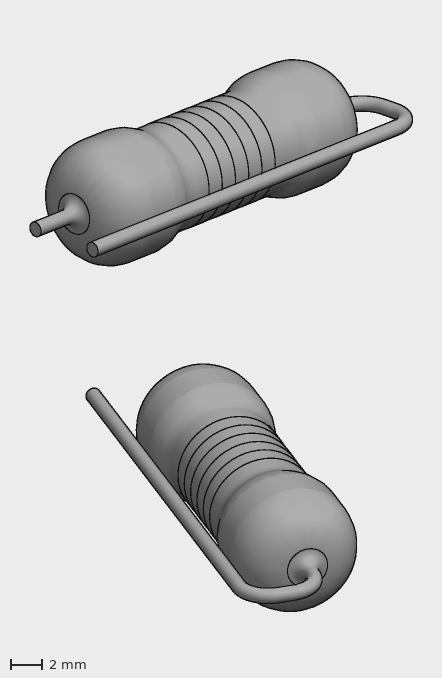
import cadquery as cq
import math

total_length = 30.9
lead_diameter = 1.0
lead_pitch = 5.0
bend_radius = 1.98

body_center = 15.5
body_length = 23.8
cap_diameter = 8.4
cap_rounding = 2.97
shoulder_length = 2.45
waist_diameter = 7.15
band_diameter = 7.17
band_count = 7
band_width = 1.25
flare_radius = 0.85

lead_radius = lead_diameter / 2
cap_radius = cap_diameter / 2
waist_radius = waist_diameter / 2
body_half = body_length / 2
waist_half = band_count * band_width / 2
bend_start = total_length - lead_radius - bend_radius


def make_half_body():
    """Revolve one half of the body, from its middle to its end and lead flare."""
    arc_length = shoulder_length / 2
    arc_drop = (cap_radius - waist_radius) / 2
    arc_radius = (arc_length**2 + arc_drop**2) / (2 * arc_drop)
    half_angle = math.atan2(arc_length, arc_radius - arc_drop) / 2
    mid_rise = arc_radius * (1 - math.cos(half_angle))
    mid_run = arc_radius * math.sin(half_angle)
    shoulder_end = waist_half + shoulder_length

    cos_45 = math.sqrt(0.5)
    cap_start = body_half - cap_rounding
    face_radius = cap_radius - cap_rounding
    flare_base = lead_radius + flare_radius
    flare_end = body_half + flare_radius

    body = (
        cq.Workplane("XY")
        .lineTo(waist_radius, 0)
        .lineTo(waist_radius, waist_half)
        .threePointArc(
            (waist_radius + mid_rise, waist_half + mid_run),
            (waist_radius + arc_drop, waist_half + arc_length),
        )
        .threePointArc(
            (cap_radius - mid_rise, shoulder_end - mid_run),
            (cap_radius, shoulder_end),
        )
        .lineTo(cap_radius, cap_start)
        .threePointArc(
            (face_radius + cap_rounding * cos_45, cap_start + cap_rounding * cos_45),
            (face_radius, body_half),
        )
        .lineTo(0, body_half)
        .close()
        .revolve(360, (0, 0), (0, 1))
    )
    flare = (
        cq.Workplane("XY")
        .moveTo(0, cap_start)
        .lineTo(face_radius, cap_start)
        .lineTo(flare_base, body_half)
        .threePointArc(
            (flare_base - flare_radius * cos_45, flare_end - flare_radius * cos_45),
            (lead_radius, flare_end),
        )
        .lineTo(0, flare_end)
        .close()
        .revolve(360, (0, 0), (0, 1))
    )
    return body.union(flare)


def make_band(index):
    """Slightly raised colour band at one position along the waist."""
    start = index * band_width - waist_half
    return cq.Workplane("XZ", origin=(0, start, 0)).circle(band_diameter / 2).extrude(-band_width)


def make_short_lead():
    return cq.Workplane("XZ").circle(lead_radius).extrude(-body_center)


def make_bent_lead():
    """Sweep the lead from the body middle, over the top bend and back to Y = 0."""
    diagonal = bend_radius * math.sqrt(0.5)
    bend_top = bend_start + bend_radius
    path = (
        cq.Workplane("XY")
        .moveTo(0, body_center)
        .lineTo(0, bend_start)
        .threePointArc(
            (bend_radius - diagonal, bend_start + diagonal),
            (bend_radius, bend_top),
        )
        .lineTo(lead_pitch - bend_radius, bend_top)
        .threePointArc(
            (lead_pitch - bend_radius + diagonal, bend_start + diagonal),
            (lead_pitch, bend_start),
        )
        .lineTo(lead_pitch, 0)
    )
    return cq.Workplane("XZ", origin=(0, body_center, 0)).circle(lead_radius).sweep(path)


half_body = make_half_body()
body = half_body.union(half_body.mirror("XZ"))
for band_index in range(1, band_count, 2):
    body = body.union(make_band(band_index))
body = body.translate((0, body_center, 0))

result = body.union(make_short_lead()).union(make_bent_lead())